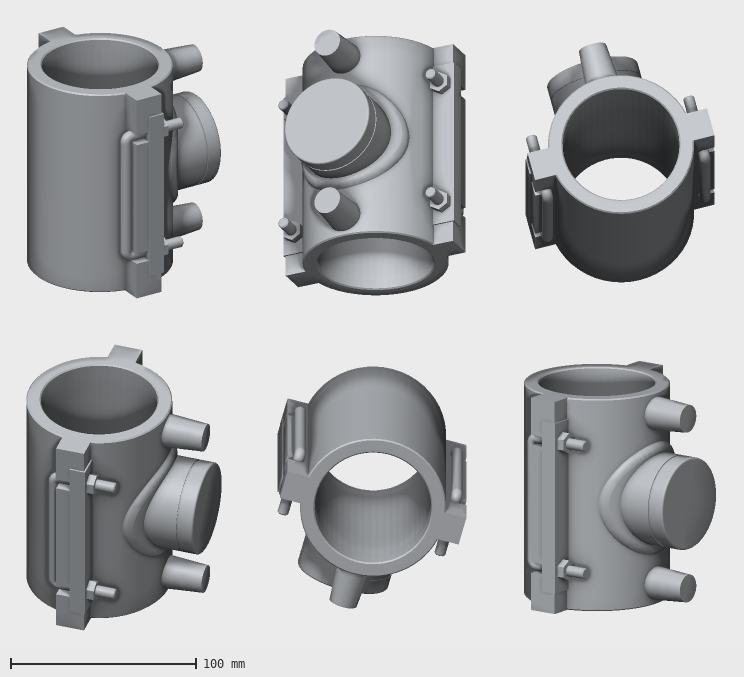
import cadquery as cq
import math

sleeve_length = 118
sleeve_radius = 39.4
bore_radius = 31.5
rim_chamfer = 0.7

flange_half_width = 50.0
flange_thickness = 7.9

strip_half_width = 51.0
strip_thickness = 8.8
strip_length = 94.6

bolt_diameter = 6.0
bolt_x = 43.9
bolt_z = 35.4
bolt_bend_radius = 3.1
bolt_tip_y = 24.1
bolt_tip_chamfer = 0.6
nut_height = 4.2
nut_across_flats = 10.0

spigot_diameter = 50.6
spigot_end_y = 61.5
spigot_end_fillet = 1.1
groove_diameter = 49.7
groove_width = 1.1
groove_y = 52.5

collar_radius = 31.5
collar_height = 2.7
collar_fillet = 5.0

stud_z = 47.2
stud_end_y = 60.5
stud_end_diameter = 15.2
stud_root_diameter = 18.9

bolt_radius = bolt_diameter / 2
wall_middle_radius = (sleeve_radius + bore_radius) / 2
nut_across_corners = nut_across_flats / math.cos(math.pi / 6)
along_y = cq.Vector(0, 1, 0)


def cylinder_y(radius, y_start, y_end, x=0, z=0):
    """Cylinder whose axis is parallel to Y."""
    start = cq.Vector(x, y_start, z)
    return cq.Workplane(cq.Solid.makeCylinder(radius, y_end - y_start, start, along_y))


def box_between(x_range, y_range, z_length):
    """Box spanning the given X and Y ranges, centred on Z = 0."""
    size_x = x_range[1] - x_range[0]
    size_y = y_range[1] - y_range[0]
    return cq.Workplane().box(size_x, size_y, z_length).translate((sum(x_range) / 2, sum(y_range) / 2, 0))


def make_sleeve():
    """Solid outer sleeve with chamfered outer rims."""
    return cq.Workplane().cylinder(sleeve_length, sleeve_radius).faces("|Z").chamfer(rim_chamfer)


def make_bore():
    """Pipe bore, flared at both ends to chamfer the inner rims."""
    half_length = sleeve_length / 2
    flare_radius = bore_radius + rim_chamfer
    return (
        cq.Workplane("XZ")
        .moveTo(0, -half_length)
        .lineTo(flare_radius, -half_length)
        .lineTo(bore_radius, rim_chamfer - half_length)
        .lineTo(bore_radius, half_length - rim_chamfer)
        .lineTo(flare_radius, half_length)
        .lineTo(0, half_length)
        .close()
        .revolve(360, (0, 0, 0), (0, 1, 0))
    )


def make_flanges():
    """Both flange pairs, with a bolt slot open to the side at each bolt of the -Y flanges."""
    flanges = cq.Workplane().box(2 * flange_half_width, 2 * flange_thickness, sleeve_length)
    for side in (-1, 1):
        for z in (-bolt_z, bolt_z):
            slot_length = flange_half_width - bolt_x
            slot = (
                cq.Workplane()
                .box(slot_length, flange_thickness, bolt_diameter)
                .translate((side * (bolt_x + slot_length / 2), -flange_thickness / 2, z))
            )
            flanges = flanges.cut(slot)
            flanges = flanges.cut(cylinder_y(bolt_radius, -flange_thickness, 0, side * bolt_x, z))
    return flanges


def make_strip():
    """Clamping strip on the +X side, reaching into the sleeve wall."""
    return box_between((wall_middle_radius, strip_half_width), (0, strip_thickness), strip_length)


def make_bolt_leg():
    """Upper leg of the +X U-bolt with its nut and the bend at its foot."""
    leg = cylinder_y(bolt_radius, -flange_thickness, bolt_tip_y, bolt_x, bolt_z)
    leg = leg.faces(">Y").chamfer(bolt_tip_chamfer)
    nut = (
        cq.Workplane("XZ", origin=(bolt_x, strip_thickness, bolt_z))
        .polygon(6, nut_across_corners)
        .extrude(-nut_height)
        .rotate((bolt_x, 0, bolt_z), (bolt_x, 1, bolt_z), 90)
    )
    bend = (
        cq.Workplane("XZ", origin=(bolt_x, -flange_thickness, bolt_z))
        .circle(bolt_radius)
        .revolve(90, (0, -bolt_bend_radius, 0), (1, -bolt_bend_radius, 0))
    )
    return leg.union(nut).union(bend)


def make_bolt():
    """Complete U-bolt with nuts on the +X side."""
    back_length = 2 * (bolt_z - bolt_bend_radius)
    back_y = -flange_thickness - bolt_bend_radius
    back = cq.Workplane().cylinder(back_length, bolt_radius).translate((bolt_x, back_y, 0))
    leg = make_bolt_leg()
    return back.union(leg).union(leg.mirror("XY"))


def make_spigot():
    """Branch outlet with a rounded end and a shallow groove, rooted below the sleeve wall."""
    spigot_radius = spigot_diameter / 2
    spigot = cylinder_y(spigot_radius, 0, spigot_end_y)
    spigot = spigot.faces(">Y").edges().fillet(spigot_end_fillet)
    groove_start = groove_y - groove_width / 2
    groove_end = groove_y + groove_width / 2
    groove = cylinder_y(spigot_diameter, groove_start, groove_end)
    groove = groove.cut(cylinder_y(groove_diameter / 2, groove_start, groove_end))
    return spigot.cut(groove)


def make_collar():
    """Saddle-shaped collar that follows the sleeve, rounded along its outer edge."""
    outer_radius = sleeve_radius + collar_height
    saddle = cq.Workplane().cylinder(sleeve_length, outer_radius)
    collar = saddle.intersect(cylinder_y(collar_radius, 0, 2 * sleeve_radius))
    return collar.edges(">Y").fillet(collar_fillet)


def make_stud(z):
    """Tapered stud rooted in the sleeve wall and pointing along +Y."""
    length = stud_end_y - wall_middle_radius
    start = cq.Vector(0, wall_middle_radius, z)
    return cq.Workplane(cq.Solid.makeCone(stud_root_diameter / 2, stud_end_diameter / 2, length, start, along_y))


result = make_sleeve().union(make_flanges()).union(make_collar()).union(make_spigot())
for stud_height in (-stud_z, stud_z):
    result = result.union(make_stud(stud_height))
clamp = make_strip().union(make_bolt())
result = result.union(clamp).union(clamp.mirror("YZ"))
result = result.cut(make_bore())